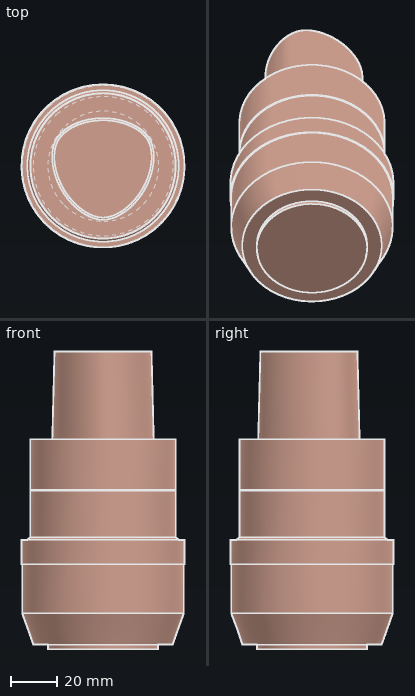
import cadquery as cq
import math

total_height = 128.9
shank_length = 38.0
shoulder_z = total_height - shank_length
flange_height = 21.8
flange_bottom_z = shoulder_z - flange_height
groove_width = 0.4
groove_bottom_z = flange_bottom_z - groove_width
collar_top_z = 47.3
collar_bottom_z = 36.8
nut_cone_top_z = 15.5
nut_bottom_z = 2.0
neck_flare_height = 1.2

flange_diameter = 63.0
groove_diameter = 62.8
neck_diameter = flange_diameter
neck_flare_diameter = 65.6
collar_diameter = 70.7
nut_diameter = 70.0
nut_end_diameter = 60.4
end_face_diameter = 47.82

shank_base_width = 44.0
shank_taper = 1 / 20
shank_top_width = shank_base_width - shank_length * shank_taper
lobe_eccentricity = 1.3
shank_curve_points = 72


def turned_body():
    """Round body as one revolved half profile, listed as (radius, height)."""
    profile = [
        (0, 0),
        (end_face_diameter / 2, 0),
        (end_face_diameter / 2, nut_bottom_z),
        (nut_end_diameter / 2, nut_bottom_z),
        (nut_diameter / 2, nut_cone_top_z),
        (nut_diameter / 2, collar_bottom_z),
        (collar_diameter / 2, collar_bottom_z),
        (collar_diameter / 2, collar_top_z),
        (neck_flare_diameter / 2, collar_top_z),
        (neck_diameter / 2, collar_top_z + neck_flare_height),
        (neck_diameter / 2, groove_bottom_z),
        (groove_diameter / 2, groove_bottom_z),
        (groove_diameter / 2, flange_bottom_z),
        (flange_diameter / 2, flange_bottom_z),
        (flange_diameter / 2, shoulder_z),
        (0, shoulder_z),
    ]
    return cq.Workplane("YZ").polyline(profile).close().revolve(360, (0, 0, 0), (0, 1, 0))


def lobed_wire(width, height):
    """Closed constant-width three-lobed curve with one lobe pointing to -Y."""

    def curve_point(index):
        angle = 2 * math.pi * index / shank_curve_points
        along = (
            width / 2 * math.cos(angle)
            + 2 * lobe_eccentricity * math.cos(2 * angle)
            - lobe_eccentricity * math.cos(4 * angle)
        )
        across = (
            width / 2 * math.sin(angle)
            - 2 * lobe_eccentricity * math.sin(2 * angle)
            - lobe_eccentricity * math.sin(4 * angle)
        )
        return cq.Vector(across, -along, height)

    points = [curve_point(index) for index in range(shank_curve_points)]
    return cq.Wire.assembleEdges([cq.Edge.makeSpline(points, periodic=True)])


def lobed_shank():
    """Solid shank that narrows evenly from the shoulder to the top face."""
    base = lobed_wire(shank_base_width, shoulder_z)
    top = lobed_wire(shank_top_width, total_height)
    return cq.Workplane(cq.Solid.makeLoft([base, top], True))


result = turned_body().union(lobed_shank())